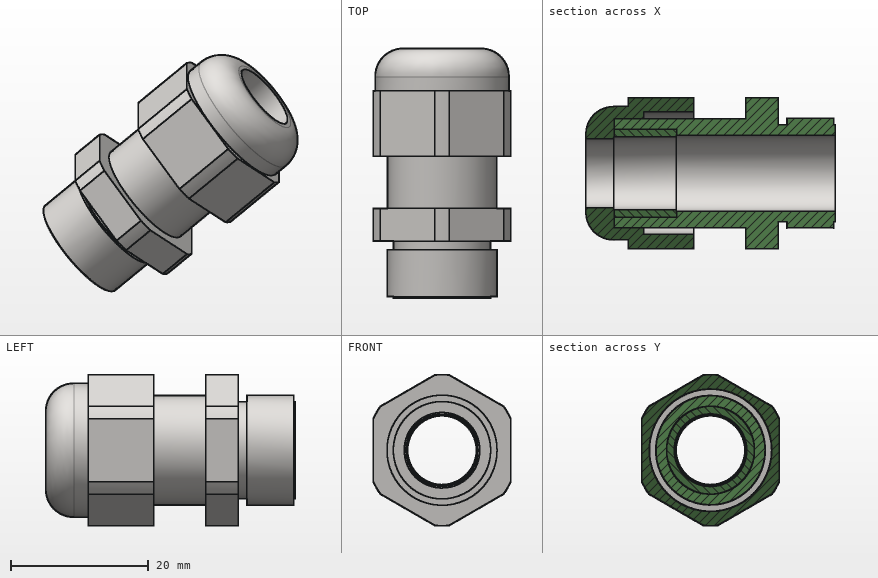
import cadquery as cq


thread_start = 0.2
thread_end = 7.05
collar_start = 8.28
collar_end = 13.03
nut_start = 20.6
nut_hex_end = 30.13
dome_start = 32.2
total_length = 36.3
dome_radius = total_length - dome_start

across_flats = 20.0
across_corners = 22.0

core_diameter = 14.15
thread_diameter = 16.0
barrel_diameter = 15.95
body_bore = 11.0

seal_diameter = 12.7
seal_bore = 10.5
seal_length = 9.08
seal_start = dome_start - seal_length

cap_diameter = 19.5
cap_opening = 10.0
nut_mouth_diameter = 17.75
nut_mouth_depth = 7.25


def cylinder(diameter, start, end):
    """Solid cylinder on the Y axis between two Y positions."""
    plane = cq.Workplane("XZ", origin=(0, start, 0))
    return plane.circle(diameter / 2).extrude(start - end)


def rounded_hexagon(start, end):
    """Hexagonal prism on the Y axis with its corners turned to a cylinder."""
    plane = cq.Workplane("XZ", origin=(0, start, 0))
    prism = plane.polygon(6, across_flats, circumscribed=True).extrude(start - end)
    return prism.intersect(cylinder(across_corners, start, end))


def make_body():
    """Threaded end, hexagonal collar and barrel, bored through."""
    body = cylinder(core_diameter, 0, collar_start)
    body = body.union(cylinder(thread_diameter, thread_start, thread_end))
    body = body.union(rounded_hexagon(collar_start, collar_end))
    body = body.union(cylinder(barrel_diameter, collar_end, dome_start))
    body = body.cut(cylinder(body_bore, 0, dome_start))
    return body.cut(cylinder(seal_diameter, seal_start, dome_start))


def make_seal():
    """Plain sleeve seated in the body socket."""
    seal = cylinder(seal_diameter, seal_start, dome_start)
    return seal.cut(cylinder(seal_bore, seal_start, dome_start))


def make_cap_nut():
    """Hexagonal nut with a rounded cap, closing over the barrel and the seal."""
    nut = cylinder(cap_diameter, nut_start, total_length).faces(">Y").edges().fillet(dome_radius)
    nut = nut.union(rounded_hexagon(nut_start, nut_hex_end))
    nut = nut.cut(cylinder(nut_mouth_diameter, nut_start, nut_start + nut_mouth_depth))
    nut = nut.cut(cylinder(barrel_diameter, nut_start, dome_start))
    return nut.cut(cylinder(cap_opening, dome_start, total_length))


body = make_body()
seal = make_seal()
cap_nut = make_cap_nut()

result = cq.Compound.makeCompound([body.val(), seal.val(), cap_nut.val()])